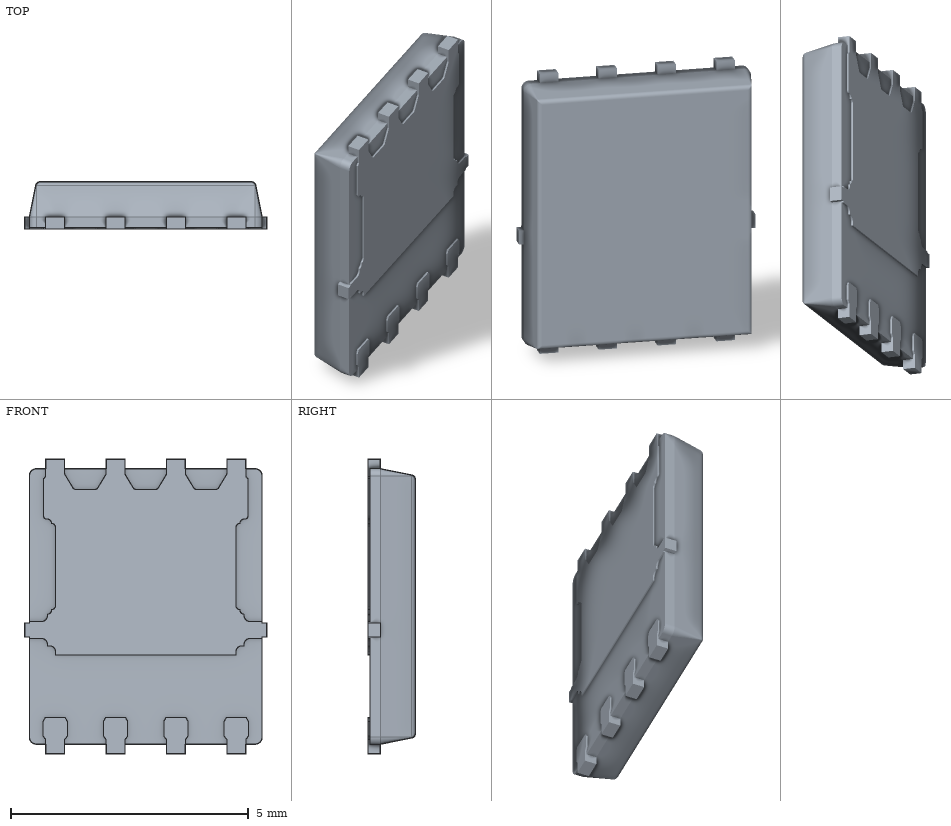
import cadquery as cq
import math


body_width = 4.9
body_length = 5.8
height = 1.0
body_front = 0.04
flange_back = 0.26
corner_radius = 0.15
draft_inset = 0.1485
draft_angle = math.degrees(math.atan(draft_inset / (height - flange_back)))
back_edge_radius = 0.1

lead_count = 4
lead_pitch = 1.27
lead_width = 0.4
lead_thickness = flange_back
overall_length = 6.2
lead_end = overall_length / 2
lead_centers = [(i - (lead_count - 1) / 2) * lead_pitch for i in range(lead_count)]

contact_half_width = 0.255
contact_top = -2.34
contact_top_bevel = 0.08
contact_top_inset = 0.045
contact_neck_start = -2.73
contact_neck_end = -2.80

overall_width = 5.1
tab_center = -0.495
tab_width = 0.3
tab_root_width = 0.36

pad_bottom = -1.02
pad_half_width = 1.9
pad_step_half_width = 2.07
pad_lower_step = -0.83
pad_waist_bottom = 0.0
pad_waist_top = 1.68
shoulder_half_width = 2.15
shoulder_bottom = 1.84
shoulder_top = 2.69
shoulder_corner_radius = 0.06
root_radius = 0.12
waist_radius = 0.08
waist_step_rise = 0.065
middle_radius = 0.1

notch_floor = 2.466
notch_floor_half_width = 0.245
notch_slope_top = 2.78
notch_half_width = (lead_pitch - lead_width) / 2
notch_corner_radius = 0.05


def front_plane():
    """Sketch plane of the pad face, facing -Y: a negative extrusion goes toward +Y."""
    return cq.Workplane("XZ")


def back_facing_plane(y):
    """Sketch plane facing +Y, with its first axis along Z and its second along X."""
    return cq.Workplane("ZX", origin=(0, y, 0))


def metal_block(x_center, x_size, z_low, z_high):
    return (
        front_plane()
        .center(x_center, (z_low + z_high) / 2)
        .rect(x_size, z_high - z_low)
        .extrude(-lead_thickness)
    )


def make_body():
    outline = cq.Sketch().rect(body_length, body_width).vertices().fillet(corner_radius)
    flange = back_facing_plane(body_front).placeSketch(outline).extrude(flange_back - body_front)
    cap = (
        back_facing_plane(flange_back)
        .placeSketch(outline)
        .extrude(height - flange_back, taper=draft_angle)
    )
    cap = cap.faces(">Y").edges().fillet(back_edge_radius)
    return flange.union(cap)


def make_half_pad():
    """Half of the drain pad on the +X side, with scalloped steps along its edge."""
    tab_top = tab_center + tab_root_width / 2
    tab_bottom = tab_center - tab_root_width / 2
    middle_half_width = pad_half_width + waist_radius
    lead_edge = lead_centers[-1] + lead_width / 2
    shoulder_chamfer = shoulder_half_width - lead_edge
    waist_bottom_step = pad_waist_bottom - waist_step_rise
    waist_top_step = pad_waist_top + waist_step_rise
    return (
        front_plane()
        .moveTo(0, pad_bottom)
        .lineTo(pad_half_width, pad_bottom)
        .lineTo(pad_half_width, pad_lower_step - root_radius)
        .radiusArc((pad_half_width + root_radius, pad_lower_step), root_radius)
        .lineTo(pad_step_half_width, pad_lower_step)
        .lineTo(pad_step_half_width, tab_bottom - root_radius)
        .radiusArc((pad_step_half_width + root_radius, tab_bottom), root_radius)
        .lineTo(body_width / 2, tab_bottom)
        .lineTo(body_width / 2, tab_top)
        .lineTo(pad_step_half_width + root_radius, tab_top)
        .radiusArc((pad_step_half_width, tab_top + root_radius), root_radius)
        .lineTo(pad_step_half_width, waist_bottom_step - middle_radius)
        .radiusArc((middle_half_width, waist_bottom_step), middle_radius)
        .radiusArc((pad_half_width, pad_waist_bottom), waist_radius)
        .lineTo(pad_half_width, pad_waist_top)
        .radiusArc((middle_half_width, waist_top_step), waist_radius)
        .radiusArc((middle_half_width + middle_radius, shoulder_bottom), middle_radius)
        .lineTo(shoulder_half_width - shoulder_corner_radius, shoulder_bottom)
        .radiusArc(
            (shoulder_half_width, shoulder_bottom + shoulder_corner_radius),
            -shoulder_corner_radius,
        )
        .lineTo(shoulder_half_width, shoulder_top)
        .lineTo(lead_edge, shoulder_top + shoulder_chamfer)
        .lineTo(lead_edge, body_length / 2)
        .lineTo(0, body_length / 2)
        .close()
        .extrude(-lead_thickness)
    )


def make_notch(x):
    notch = (
        front_plane()
        .center(x, 0)
        .moveTo(-notch_half_width, lead_end)
        .lineTo(-notch_half_width, notch_slope_top)
        .lineTo(-notch_floor_half_width, notch_floor)
        .lineTo(notch_floor_half_width, notch_floor)
        .lineTo(notch_half_width, notch_slope_top)
        .lineTo(notch_half_width, lead_end)
        .close()
        .extrude(-lead_thickness)
    )
    return notch.edges("|Y and (not >Z)").fillet(notch_corner_radius)


def make_drain_pad():
    half = make_half_pad()
    pad = half.union(half.mirror("YZ"))
    for left, right in zip(lead_centers, lead_centers[1:]):
        pad = pad.cut(make_notch((left + right) / 2))
    for x in lead_centers:
        pad = pad.union(metal_block(x, lead_width, notch_slope_top, lead_end))
    tab_low = tab_center - tab_width / 2
    return pad.union(metal_block(0, overall_width, tab_low, tab_low + tab_width))


def make_lower_lead(x):
    lead = metal_block(x, lead_width, -lead_end, contact_neck_start)
    top_half_width = contact_half_width - contact_top_inset
    right_side = [
        (lead_width / 2, contact_neck_end),
        (contact_half_width, contact_neck_start),
        (contact_half_width, contact_top - contact_top_bevel),
        (top_half_width, contact_top),
    ]
    left_side = [(-px, pz) for px, pz in reversed(right_side)]
    contact = (
        front_plane()
        .center(x, 0)
        .polyline(right_side + left_side)
        .close()
        .extrude(-lead_thickness)
    )
    return lead.union(contact)


result = make_body().union(make_drain_pad())
for lead_x in lead_centers:
    result = result.union(make_lower_lead(lead_x))